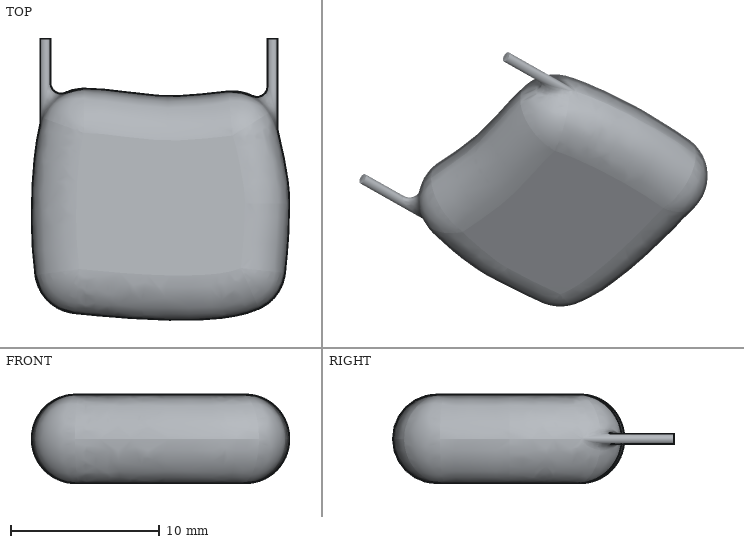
import cadquery as cq

body_thickness = 6.0
full_round = body_thickness / 2

back_left = (-5.05, 4.75)
back_right = (4.95, 4.57)
right_middle = (5.79, 0.0)
front_right = (5.52, -4.35)
front_left = (-5.37, -4.42)

back_bow = [(-2.5, 4.75), (0.0, 3.75), (2.5, 4.35)]
right_back_bow = [(5.15, 4.25), (5.4, 2.7), (5.79, 1.4)]
right_front_bow = [(5.79, -1.4), (5.68, -2.9)]
front_bow = [(3.35, -5.31), (-2.77, -4.67)]
left_bow = [(-5.74, -1.7), (-5.66, 2.0), (-5.25, 4.2)]

lead_radius = 0.35
lead_spacing = 15.3
lead_tip_y = 11.1
lead_root_y = 3.5
lead_fillet = 0.7
joint_tolerance = 0.01


sides = [
    [back_left, *back_bow, back_right],
    [back_right, *right_back_bow, right_middle],
    [right_middle, *right_front_bow, front_right],
    [front_right, *front_bow, front_left],
    [front_left, *left_bow, back_left],
]
sharp_corners = [back_left, back_right, front_right, front_left]


def make_flat_slab():
    outline = cq.Workplane("XY", origin=(0, 0, -body_thickness / 2))
    outline = outline.moveTo(*back_left)
    for side in sides:
        outline = outline.bezier(side[1:], includeCurrent=True)
    return outline.close().extrude(body_thickness)


def make_side_round(side):
    """Half disc swept along one side, bulging outward from the slab."""
    start, aim = side[0], side[1]
    along = cq.Vector(aim[0] - start[0], aim[1] - start[1], 0)
    outward = cq.Vector(-along.y, along.x, 0)
    half_disc = (
        cq.Workplane(cq.Plane(origin=(*start, 0), xDir=outward, normal=along))
        .moveTo(0, -full_round)
        .radiusArc((full_round, 0), -full_round)
        .radiusArc((0, full_round), -full_round)
        .close()
    )
    return half_disc.sweep(cq.Workplane("XY").bezier(side))


def make_body():
    body = make_flat_slab()
    for side in sides:
        body = body.union(make_side_round(side))
    for corner in sharp_corners:
        body = body.union(cq.Workplane("XY").center(*corner).sphere(full_round))
    return body


def make_lead(x):
    return (
        cq.Workplane("XZ", origin=(x, lead_tip_y, 0))
        .circle(lead_radius)
        .extrude(lead_tip_y - lead_root_y)
    )


def is_lead_joint(edge, x):
    """True for an edge where the lead at x breaks out of the body."""
    box = edge.BoundingBox()
    within_lead = abs(box.center.x - x) + box.xlen / 2 < lead_radius + joint_tolerance
    return within_lead and lead_root_y < box.ymin and box.ymax < lead_tip_y - joint_tolerance


def add_lead(body, x):
    joined = body.union(make_lead(x))
    joint = [edge for edge in joined.edges().vals() if is_lead_joint(edge, x)]
    return joined.newObject(joint).fillet(lead_fillet)


result = make_body()
for direction in (-1, 1):
    result = add_lead(result, direction * lead_spacing / 2)